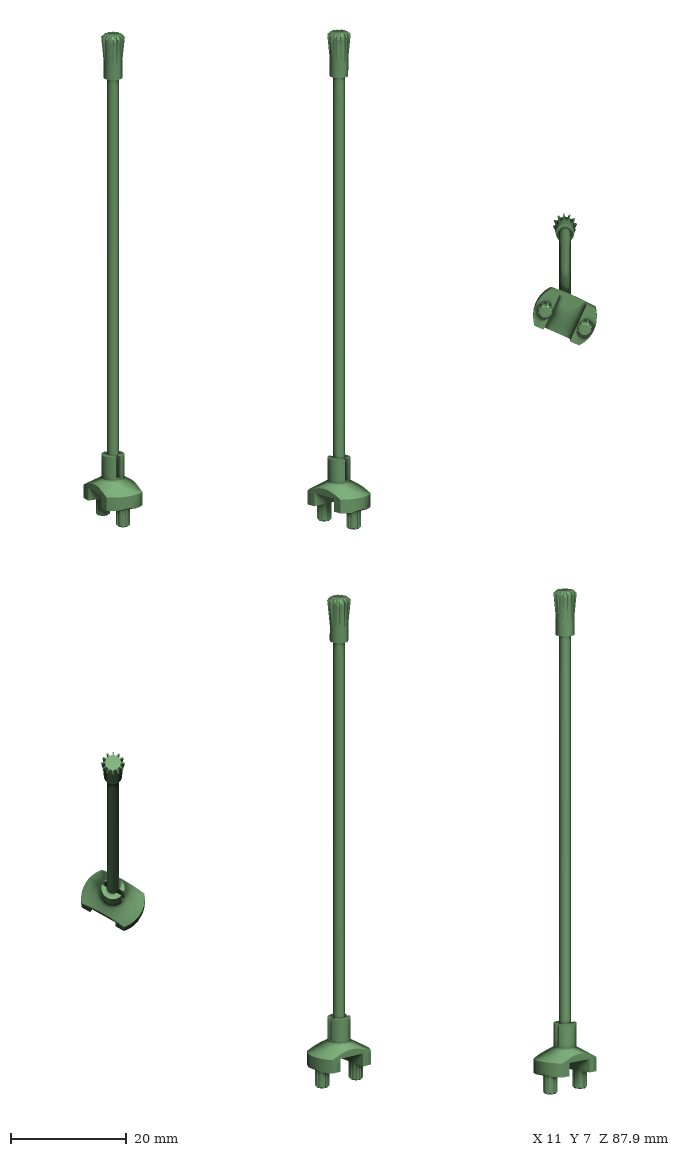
import cadquery as cq

FORK_LENGTH = 11.0
FORK_WIDTH = 7.0
LEG_GAP = 5.0
LEG_BOTTOM_Z = 3.3
GAP_TOP_Z = 5.65
SHOULDER_Z = 5.75
SLEEVE_BOTTOM_Z = 7.75
SLEEVE_TOP_Z = 11.95
SLEEVE_RADIUS = 2.0
SLEEVE_SLOT_WIDTH = 0.8
SLOT_FLOOR_HEIGHT = 0.25
LEG_EDGE_CHAMFER = 0.3

PIN_RADIUS = 1.25
PIN_CORE_RADIUS = 1.05
PIN_CHAMFER = 0.3
PIN_RIB_COUNT = 8
PIN_RIB_WIDTH = 0.35
PIN_OFFSET = LEG_GAP / 2 + PIN_RADIUS

RIB_REACH = 3.0

ROD_RADIUS = 1.0

TOTAL_HEIGHT = 87.85
HEAD_BOTTOM_Z = 80.0
HEAD_SOCKET_DEPTH = 3.0
HEAD_CORE_RADIUS = 1.6
HEAD_END_RADIUS = 1.35
HEAD_CORE_TAPER = 1.05
HEAD_RIB_COUNT = 12
HEAD_RIB_WIDTH = 0.25
RIB_START_Z = 82.9
RIB_TIP_RADIUS = 2.05
RIB_END_RADIUS = 1.5
RIB_CHAMFER_HEIGHT = 0.5

ROD_TOP_Z = HEAD_BOTTOM_Z + HEAD_SOCKET_DEPTH


def cylinder(radius, bottom_z, top_z):
    return cq.Workplane("XY", origin=(0, 0, bottom_z)).circle(radius).extrude(top_z - bottom_z)


def block(length, width, bottom_z, top_z):
    return cq.Workplane("XY", origin=(0, 0, bottom_z)).rect(length, width).extrude(top_z - bottom_z)


def turned(profile):
    """Solid of revolution about Z from (radius, z) points."""
    return cq.Workplane("YZ").polyline(profile).close().revolve(360, (0, 0), (0, 1))


def rib_star(count, width, bottom_z, top_z):
    """Radial bars crossing on the Z axis; each bar carries two opposite ribs."""
    star = block(2 * RIB_REACH, width, bottom_z, top_z)
    for i in range(1, count // 2):
        bar = block(2 * RIB_REACH, width, bottom_z, top_z)
        star = star.union(bar.rotate((0, 0, 0), (0, 0, 1), i * 360 / count))
    return star


def make_pin():
    envelope = cylinder(PIN_RADIUS, 0, LEG_BOTTOM_Z).faces("<Z").chamfer(PIN_CHAMFER)
    section = cylinder(PIN_CORE_RADIUS, 0, LEG_BOTTOM_Z).union(
        rib_star(PIN_RIB_COUNT, PIN_RIB_WIDTH, 0, LEG_BOTTOM_Z)
    )
    return envelope.intersect(section)


def leg_edge_wedge():
    """Wedge that bevels the lower outer edge of the +X leg."""
    end_x = FORK_LENGTH / 2
    return (
        cq.Workplane("XZ", origin=(0, FORK_WIDTH / 2, 0))
        .polyline([
            (end_x - LEG_EDGE_CHAMFER, LEG_BOTTOM_Z),
            (end_x, LEG_BOTTOM_Z),
            (end_x, LEG_BOTTOM_Z + LEG_EDGE_CHAMFER),
        ])
        .close()
        .extrude(FORK_WIDTH)
    )


def make_fork():
    end_radius = FORK_LENGTH / 2
    fork = turned([
        (0, LEG_BOTTOM_Z),
        (end_radius, LEG_BOTTOM_Z),
        (end_radius, SHOULDER_Z),
        (SLEEVE_RADIUS, SLEEVE_BOTTOM_Z),
        (SLEEVE_RADIUS, SLEEVE_TOP_Z),
        (0, SLEEVE_TOP_Z),
    ])
    fork = fork.intersect(block(FORK_LENGTH, FORK_WIDTH, LEG_BOTTOM_Z, SLEEVE_TOP_Z))
    fork = fork.cut(block(LEG_GAP, FORK_WIDTH, LEG_BOTTOM_Z, GAP_TOP_Z))
    fork = fork.cut(cylinder(ROD_RADIUS, SLEEVE_BOTTOM_Z, SLEEVE_TOP_Z))
    slot_floor_z = SLEEVE_BOTTOM_Z + SLOT_FLOOR_HEIGHT
    fork = fork.cut(block(2 * SLEEVE_RADIUS, SLEEVE_SLOT_WIDTH, slot_floor_z, SLEEVE_TOP_Z))
    for turn in (0, 180):
        fork = fork.cut(leg_edge_wedge().rotate((0, 0, 0), (0, 0, 1), turn))
        pin = make_pin().translate((PIN_OFFSET, 0, 0))
        fork = fork.union(pin.rotate((0, 0, 0), (0, 0, 1), turn))
    return fork


def make_rod():
    return cylinder(ROD_RADIUS, SLEEVE_BOTTOM_Z, ROD_TOP_Z)


def make_head():
    core = turned([
        (0, HEAD_BOTTOM_Z),
        (HEAD_CORE_RADIUS, HEAD_BOTTOM_Z),
        (HEAD_CORE_RADIUS, TOTAL_HEIGHT - HEAD_CORE_TAPER),
        (HEAD_END_RADIUS, TOTAL_HEIGHT),
        (0, TOTAL_HEIGHT),
    ])
    rib_envelope = turned([
        (0, RIB_START_Z),
        (HEAD_CORE_RADIUS, RIB_START_Z),
        (RIB_TIP_RADIUS, TOTAL_HEIGHT - RIB_CHAMFER_HEIGHT),
        (RIB_END_RADIUS, TOTAL_HEIGHT),
        (0, TOTAL_HEIGHT),
    ])
    star = rib_star(HEAD_RIB_COUNT, HEAD_RIB_WIDTH, RIB_START_Z, TOTAL_HEIGHT)
    head = core.union(rib_envelope.intersect(star))
    return head.cut(cylinder(ROD_RADIUS, HEAD_BOTTOM_Z, ROD_TOP_Z))


fork = make_fork()
rod = make_rod()
head = make_head()

result = cq.Compound.makeCompound([body.solids().val() for body in (fork, rod, head)])